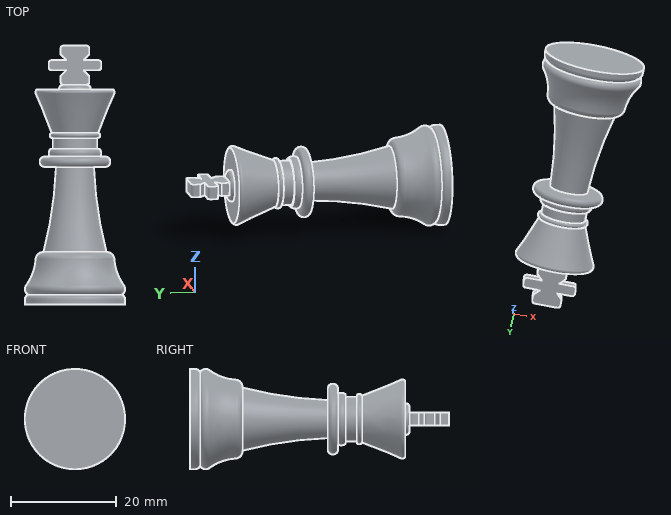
import cadquery as cq
import math


foot_rim_y = 1.0
foot_groove_y = 2.0
bead_widest_y = 3.05
flare_start_y = 3.65
flare_mid_y = 6.0
pedestal_y = 10.0
stem_mid_y = 18.0
collar_y = 26.0
upper_ring_y = 28.05
upper_ring_widest_y = 28.6
neck_y = 29.5
head_ring_y = 31.5
head_y = 32.55
head_mid_y = 36.35
lip_edge_y = 40.0
lip_mid_y = 40.42
crown_y = 40.7
dome_top_y = 41.55
total_length = 49.0

foot_radius = 9.5
groove_radius = 8.85
flare_start_radius = 9.3
flare_mid_radius = 8.05
pedestal_radius = 7.5
pedestal_round = 1.5
stem_base_radius = pedestal_radius - pedestal_round
stem_mid_radius = 4.35
stem_top_radius = 3.65
collar_radius = 6.7
upper_ring_radius = 5.0
upper_ring_base_radius = 4.85
upper_ring_top_radius = 4.6
neck_radius = 8.5 / 2
head_ring_radius = 4.8
head_base_radius = 4.45
head_mid_radius = 5.95
lip_edge_radius = 7.5
lip_mid_radius = 7.45
crown_radius = 7.15
dome_radius = 3.05

cross_thickness = 2.5
cross_half_width = 5.0
lobe_half_width = 2.75
waist_half_width = 1.65
arm_half_height = 1.0
cross_round = 0.6

diagonal = math.sqrt(0.5)


def quarter_round(profile, center_radius, center_y, radius):
    """Add a convex quarter round, rising from its widest point to its flat top."""
    middle = (center_radius + radius * diagonal, center_y + radius * diagonal)
    return profile.threePointArc(middle, (center_radius, center_y + radius))


def round_ring(profile, outer_radius, bottom_y, top_y):
    """Add a ring with a half-round rim."""
    rim = (top_y - bottom_y) / 2
    profile = profile.lineTo(outer_radius - rim, bottom_y)
    return profile.threePointArc((outer_radius, bottom_y + rim), (outer_radius - rim, top_y))


def make_body():
    profile = cq.Workplane("XY").lineTo(foot_radius, 0).lineTo(foot_radius, foot_rim_y)

    rim_round = foot_groove_y - foot_rim_y
    groove_angle = math.acos((groove_radius - foot_radius + rim_round) / rim_round)
    groove_bottom_y = foot_rim_y + rim_round * math.sin(groove_angle)
    rim_middle = (
        foot_radius - rim_round * (1 - math.cos(groove_angle / 2)),
        foot_rim_y + rim_round * math.sin(groove_angle / 2),
    )
    profile = profile.threePointArc(rim_middle, (groove_radius, groove_bottom_y))
    profile = profile.threePointArc((foot_radius, bead_widest_y), (flare_start_radius, flare_start_y))
    pedestal_round_y = pedestal_y - pedestal_round
    profile = profile.threePointArc((flare_mid_radius, flare_mid_y), (pedestal_radius, pedestal_round_y))
    profile = quarter_round(profile, stem_base_radius, pedestal_round_y, pedestal_round)

    profile = profile.threePointArc((stem_mid_radius, stem_mid_y), (stem_top_radius, collar_y))

    profile = round_ring(profile, collar_radius, collar_y, upper_ring_y)
    profile = profile.lineTo(upper_ring_base_radius, upper_ring_y)
    profile = profile.threePointArc((upper_ring_radius, upper_ring_widest_y), (upper_ring_top_radius, neck_y))

    profile = profile.lineTo(neck_radius, neck_y).lineTo(neck_radius, head_ring_y)
    profile = round_ring(profile, head_ring_radius, head_ring_y, head_y)
    profile = profile.lineTo(head_base_radius, head_y)
    profile = profile.threePointArc((head_mid_radius, head_mid_y), (lip_edge_radius, lip_edge_y))
    profile = profile.threePointArc((lip_mid_radius, lip_mid_y), (crown_radius, crown_y))

    dome_round = dome_top_y - crown_y
    profile = profile.lineTo(dome_radius, crown_y)
    profile = quarter_round(profile, dome_radius - dome_round, crown_y, dome_round)
    profile = profile.lineTo(0, dome_top_y).close()
    return profile.revolve(360, (0, 0, 0), (0, 1, 0))


def make_cross():
    half_height = (total_length - dome_top_y) / 2
    center_y = dome_top_y + half_height
    lobe_start = arm_half_height + lobe_half_width - waist_half_width

    arms = cq.Workplane("XY").rect(2 * cross_half_width, 2 * arm_half_height)
    cross = arms.extrude(cross_thickness / 2, both=True).edges("|Z").fillet(cross_round)
    for side in (1, -1):
        lobe = (
            cq.Workplane("XY")
            .moveTo(-waist_half_width, 0)
            .lineTo(-waist_half_width, side * arm_half_height)
            .lineTo(-lobe_half_width, side * lobe_start)
            .lineTo(-lobe_half_width, side * half_height)
            .lineTo(lobe_half_width, side * half_height)
            .lineTo(lobe_half_width, side * lobe_start)
            .lineTo(waist_half_width, side * arm_half_height)
            .lineTo(waist_half_width, 0)
            .close()
            .extrude(cross_thickness / 2, both=True)
        )
        end_face = ">Y" if side > 0 else "<Y"
        lobe = lobe.faces(end_face).edges("|Z").fillet(cross_round)
        cross = cross.union(lobe)
    return cross.translate((0, center_y, 0))


result = make_body().union(make_cross())